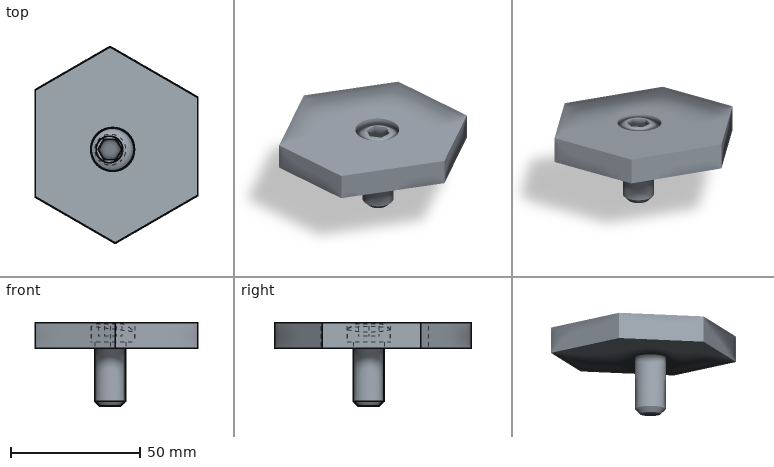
import cadquery as cq
import math

plate_thickness = 10.0
nearest_side_distance = 30.0
side_distance_step = 1.0
side_count = 6
nearest_side_angle = 180.0
side_angle_step = 360.0 / side_count
counterbore_diameter = 17.0

head_diameter = 16.6
head_height = 7.0
head_recess = 0.37
shank_diameter = 12.0
shank_length = 25.0
shank_chamfer = 2.0
shank_offset = -1.0
dome_offset = -1.25
crown_flat_diameter = 10.3
dome_radius = 13.0
socket_sides = 6
socket_across_flats = 8.0
socket_depth = 4.75

head_top = plate_thickness - head_recess
head_seat = head_top - head_height
shank_end = head_seat - shank_length


def cylinder(diameter, bottom, top, x_offset=0.0):
    base = cq.Workplane("XY", origin=(x_offset, 0, bottom))
    return base.circle(diameter / 2).extrude(top - bottom)


def plate_corners():
    """Corners where each side line meets the next one around the plate."""
    turn = math.radians(side_angle_step)
    corners = []
    for i in range(side_count):
        distance = nearest_side_distance + i * side_distance_step
        next_distance = nearest_side_distance + (i + 1) % side_count * side_distance_step
        angle = math.radians(nearest_side_angle) + i * turn
        along = (next_distance - distance * math.cos(turn)) / math.sin(turn)
        corners.append((
            distance * math.cos(angle) - along * math.sin(angle),
            distance * math.sin(angle) + along * math.cos(angle),
        ))
    return corners


def make_plate():
    plate = cq.Workplane("XY").polyline(plate_corners()).close().extrude(plate_thickness)
    counterbore = cylinder(counterbore_diameter, head_seat, plate_thickness)
    shank_hole = cylinder(shank_diameter, 0, head_seat, shank_offset)
    return plate.cut(counterbore).cut(shank_hole)


def make_screw():
    dome_centre_depth = math.sqrt(dome_radius**2 - (crown_flat_diameter / 2) ** 2)
    dome_centre = (dome_offset, 0, head_top - dome_centre_depth)
    dome = cq.Workplane("XY", origin=dome_centre).sphere(dome_radius)
    head = cylinder(head_diameter, head_seat, head_top).intersect(dome)

    shank = cylinder(shank_diameter, shank_end, head_seat, shank_offset)
    shank = shank.faces("<Z").chamfer(shank_chamfer)

    socket_across_corners = socket_across_flats / math.cos(math.pi / socket_sides)
    socket_floor = cq.Workplane("XY", origin=(shank_offset, 0, head_top - socket_depth))
    socket = socket_floor.polygon(socket_sides, socket_across_corners).extrude(socket_depth)
    return head.union(shank).cut(socket)


plate = make_plate()
screw = make_screw()
result = cq.Compound.makeCompound([plate.val(), screw.val()])